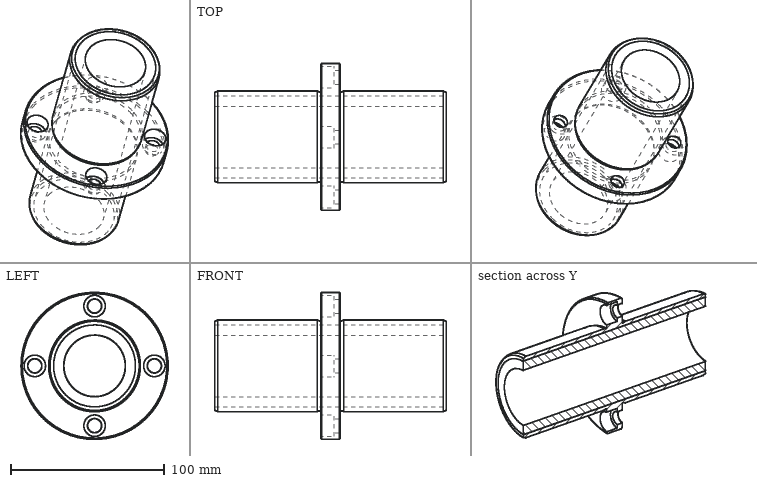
import cadquery as cq

LENGTH = 151.0
SLEEVE_DIAMETER = 60.0
LINER_DIAMETER = 53.5
BORE_DIAMETER = 40.0

LEAD_IN_LENGTH = 2.1
LEAD_IN_DEPTH = 0.9

FLANGE_DIAMETER = 96.0
FLANGE_THICKNESS = 13.0
FLANGE_CHAMFER = 0.9

RELIEF_WIDTH = 2.3
RELIEF_DEPTH = 0.6

HOLE_COUNT = 4
HOLE_CIRCLE_RADIUS = (SLEEVE_DIAMETER + FLANGE_DIAMETER) / 4
HOLE_DIAMETER = 9.0
COUNTERBORE_DIAMETER = 14.0
COUNTERBORE_DEPTH = 8.6


def make_barrel():
    """Revolve the solid barrel on the +X side of the flange about X."""
    half_length = LENGTH / 2
    half_flange = FLANGE_THICKNESS / 2
    sleeve_radius = SLEEVE_DIAMETER / 2
    relief_edge = (half_flange + RELIEF_WIDTH, sleeve_radius)
    relief_arc_radius = (RELIEF_WIDTH**2 + RELIEF_DEPTH**2) / (2 * RELIEF_DEPTH)

    profile = (
        cq.Workplane("XY")
        .moveTo(half_flange, 0)
        .lineTo(half_flange, sleeve_radius - RELIEF_DEPTH)
        .radiusArc(relief_edge, -relief_arc_radius)
        .lineTo(half_length - LEAD_IN_LENGTH, sleeve_radius)
        .lineTo(half_length, sleeve_radius - LEAD_IN_DEPTH)
        .lineTo(half_length, 0)
        .close()
    )
    return profile.revolve(360, (0, 0, 0), (1, 0, 0))


def make_flange():
    """Solid chamfered disc in the middle of the sleeve."""
    return (
        cq.Workplane("YZ", origin=(-FLANGE_THICKNESS / 2, 0, 0))
        .circle(FLANGE_DIAMETER / 2)
        .extrude(FLANGE_THICKNESS)
        .edges()
        .chamfer(FLANGE_CHAMFER)
    )


def make_hole_tools(diameter, depth):
    """Ring of cylinders that start on the -X flange face and run towards +X."""
    return (
        cq.Workplane("YZ", origin=(-FLANGE_THICKNESS / 2, 0, 0))
        .polarArray(HOLE_CIRCLE_RADIUS, 0, 360, HOLE_COUNT)
        .circle(diameter / 2)
        .extrude(depth)
    )


def make_flanged_sleeve():
    """Join the flange and both barrels, then cut the liner seat and the mounting holes."""
    barrel = make_barrel()
    sleeve = make_flange().union(barrel).union(barrel.mirror("YZ"))
    liner_seat = cq.Workplane("YZ", origin=(-LENGTH / 2, 0, 0)).circle(LINER_DIAMETER / 2).extrude(LENGTH)
    through_holes = make_hole_tools(HOLE_DIAMETER, FLANGE_THICKNESS)
    counterbores = make_hole_tools(COUNTERBORE_DIAMETER, COUNTERBORE_DEPTH)
    return sleeve.cut(liner_seat).cut(through_holes).cut(counterbores)


def make_liner():
    """Plain tube that fills the sleeve over its full length."""
    return (
        cq.Workplane("YZ", origin=(-LENGTH / 2, 0, 0))
        .circle(LINER_DIAMETER / 2)
        .circle(BORE_DIAMETER / 2)
        .extrude(LENGTH)
    )


flanged_sleeve = make_flanged_sleeve()
liner = make_liner()

result = cq.Compound.makeCompound([flanged_sleeve.solids().val(), liner.val()])